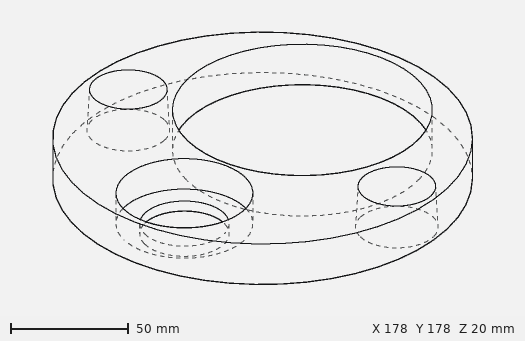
import cadquery as cq

disc_diameter = 178.0
thickness = 20.0

opening_diameter = 110.2
opening_y = 29.0

side_hole_top_diameter = 33.0
side_hole_bottom_diameter = 35.0
side_hole_x = 70.0

bore_diameter = 38.0
counterbore_diameter = 58.0
counterbore_depth = 15.0
bore_y = -57.0

disc = cq.Workplane("XY").circle(disc_diameter / 2).extrude(thickness)
top = disc.faces(">Z").workplane(origin=(0, 0, thickness))

part = top.center(0, opening_y).hole(opening_diameter)

for x in (-side_hole_x, side_hole_x):
    cone = cq.Solid.makeCone(
        side_hole_bottom_diameter / 2, side_hole_top_diameter / 2, thickness, pnt=cq.Vector(x, 0, 0)
    )
    part = part.cut(cq.Workplane(cone))

top = part.faces(">Z").workplane(origin=(0, 0, thickness))
result = top.center(0, bore_y).cboreHole(bore_diameter, counterbore_diameter, counterbore_depth)